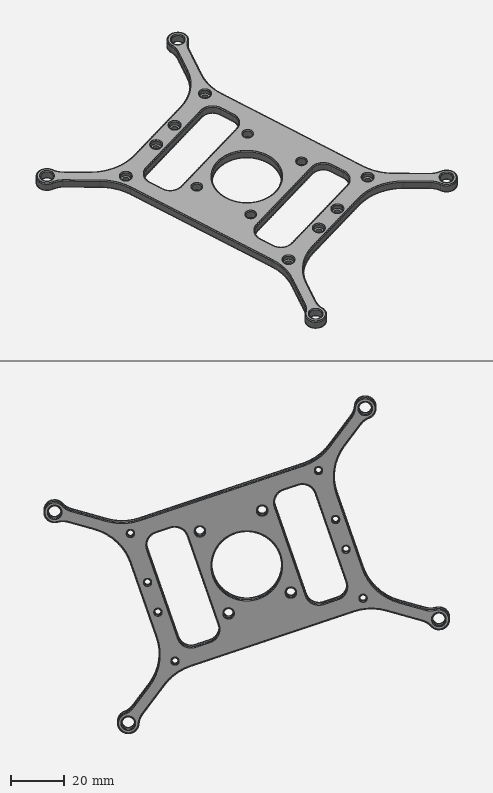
import cadquery as cq
import math

length = 130.5
width = 93.0
thickness = 4.0
edge_chamfer = 0.4

body_length = 81.5
body_width = 59.1

eyelet_radius = 4.0
eyelet_hole_diameter = 4.7
arm_width = 4.7
arm_body_fillet = 20.0
arm_eyelet_fillet = 7.0

window_width = 15.7
window_length = 45.7
window_corner_radius = 5.0
window_spacing = 50.4

opening_diameter = 26.0
fan_hole_diameter = 3.5
fan_hole_spacing_x = 24.5
fan_hole_spacing_y = 33.0
fan_hole_offset_y = 1.6

screw_hole_diameter = 2.3
counterbore_diameter = 4.0
counterbore_depth = 2.0
screw_spacing_x = 74.1
outer_screw_spacing_y = 51.4
inner_screw_spacing_y = 12.0

eyelet_x = length / 2 - eyelet_radius
eyelet_y = width / 2 - eyelet_radius
arm_length = math.hypot(eyelet_x, eyelet_y)
arm_angle = math.degrees(math.atan2(eyelet_y, eyelet_x))


def rectangle_points(spacing_x, spacing_y, center_y=0.0):
    """Corners of a rectangle centred on the Y axis."""
    return [
        (side_x * spacing_x / 2, center_y + side_y * spacing_y / 2)
        for side_x in (-1, 1)
        for side_y in (-1, 1)
    ]


eyelet_points = rectangle_points(2 * eyelet_x, 2 * eyelet_y)
screw_points = rectangle_points(screw_spacing_x, outer_screw_spacing_y)
screw_points += rectangle_points(screw_spacing_x, inner_screw_spacing_y)
fan_points = rectangle_points(fan_hole_spacing_x, fan_hole_spacing_y, fan_hole_offset_y)


def fillet_at(solid, points, radius):
    """Round the upright edges that stand at the given points."""
    for x, y in points:
        nearest_edge = cq.selectors.NearestToPointSelector((x, y, thickness / 2))
        solid = solid.edges("|Z").edges(nearest_edge).fillet(radius)
    return solid


def arm_roots():
    """Points where the arm sides leave the long and the short body sides."""
    angle = math.radians(arm_angle)
    half_arm = arm_width / 2
    long_side_x = (body_width / 2 - half_arm / math.cos(angle)) / math.tan(angle)
    short_side_y = body_length / 2 * math.tan(angle) - half_arm / math.cos(angle)
    return rectangle_points(2 * long_side_x, body_width) + rectangle_points(body_length, 2 * short_side_y)


def eyelet_necks():
    """Points where the arm sides run into the round eyelets."""
    half_arm = arm_width / 2
    along_arm = arm_length - math.sqrt(eyelet_radius**2 - half_arm**2)
    neck_radius = math.hypot(along_arm, half_arm)
    half_spread = math.atan2(half_arm, along_arm)
    points = []
    for side in (-1, 1):
        angle = math.radians(arm_angle) + side * half_spread
        points += rectangle_points(2 * neck_radius * math.cos(angle), 2 * neck_radius * math.sin(angle))
    return points


def make_outline():
    plate = cq.Workplane("XY").rect(body_length, body_width).extrude(thickness)
    for angle in (arm_angle, -arm_angle):
        arms = cq.Workplane("XY").rect(2 * arm_length, arm_width).extrude(thickness)
        plate = plate.union(arms.rotate((0, 0, 0), (0, 0, 1), angle))
    eyelets = (
        cq.Workplane("XY")
        .pushPoints(eyelet_points)
        .circle(eyelet_radius)
        .extrude(thickness)
    )
    plate = plate.union(eyelets)
    plate = fillet_at(plate, arm_roots(), arm_body_fillet)
    return fillet_at(plate, eyelet_necks(), arm_eyelet_fillet)


def make_windows():
    return (
        cq.Workplane("XY")
        .pushPoints([(-window_spacing / 2, 0), (window_spacing / 2, 0)])
        .rect(window_width, window_length)
        .extrude(thickness)
        .edges("|Z")
        .fillet(window_corner_radius)
    )


def make_holes(points, diameter, depth=thickness):
    """Round cutters that reach down from the top face."""
    return (
        cq.Workplane("XY", origin=(0, 0, thickness))
        .pushPoints(points)
        .circle(diameter / 2)
        .extrude(-depth)
    )


plate = make_outline()
plate = plate.cut(make_windows())
plate = plate.cut(make_holes([(0, 0)], opening_diameter))
plate = plate.cut(make_holes(fan_points, fan_hole_diameter))
plate = plate.cut(make_holes(eyelet_points, eyelet_hole_diameter))
plate = plate.cut(make_holes(screw_points, screw_hole_diameter))
plate = plate.cut(make_holes(screw_points, counterbore_diameter, counterbore_depth))

result = plate.faces("<Z or >Z").chamfer(edge_chamfer)